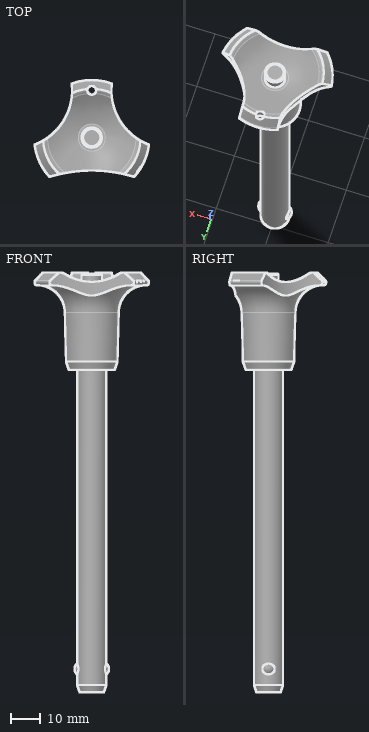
import cadquery as cq
import math


shank_radius = 5.0
shank_length = 109.65
tip_radius = 4.15
tip_taper_length = 2.5

ball_radius = 2.3
ball_reach = 5.9
ball_height_above_tip = 8.0

handle_height = 33.25
barrel_foot_radius = 8.8
barrel_top_radius = 9.22
barrel_top_z = 19.6
foot_taper_radius = 7.8
foot_taper_height = 2.9
foot_round = 0.5
flare_radius = 9.2
lip_outer_radius = 19.64
lip_round = 1.0
rim_bevel_angle = 45.0
bowl_rim_radius = 15.05
bowl_rim_drop = 0.6
bowl_depth = 5.55

side_notch_radius = 19.8
side_notch_centre = (26.52, 16.1)
front_notch_radius = 50.0
front_notch_depth_y = 11.24
front_notch_centre = (0, -front_notch_depth_y - front_notch_radius)

lanyard_hole_radius = 1.45
lanyard_hole_centre = (0, 16.1)

button_radius = 3.45
button_top_z = 32.9
button_chamfer = 0.5
seat_radius = 4.6


def build_shank():
    """Plain pin with a conical lead-in at the lower end."""
    return (
        cq.Workplane("XZ")
        .moveTo(0, 0)
        .lineTo(shank_radius, 0)
        .lineTo(shank_radius, tip_taper_length - shank_length)
        .lineTo(tip_radius, -shank_length)
        .lineTo(0, -shank_length)
        .close()
        .revolve(360, (0, 0, 0), (0, 1, 0))
    )


def build_ball(side):
    """Locking ball standing out of the shank on the given side of X."""
    centre_x = side * (ball_reach - ball_radius)
    centre_z = ball_height_above_tip - shank_length
    return cq.Workplane("XY").sphere(ball_radius).translate((centre_x, 0, centre_z))


def arc_rise(distance, chord_width, chord_rise):
    """Rise, at a distance from its level end, of an arc that ends at the given width and rise."""
    radius = (chord_width**2 + chord_rise**2) / (2 * chord_rise)
    return radius - math.sqrt(radius**2 - distance**2)


def bowl_height_at(radius):
    """Z of the bowl surface at a radius from the axis."""
    bottom_z = handle_height - bowl_rim_drop - bowl_depth
    return bottom_z + arc_rise(radius, bowl_rim_radius, bowl_depth)


def build_handle_blank():
    """Full round handle before the notches are cut."""
    bevel = math.radians(rim_bevel_angle)
    flare_mid_angle = math.radians(45)

    flare_centre_r = barrel_top_radius + flare_radius
    flare_top_z = barrel_top_z + flare_radius
    flare_mid = (
        flare_centre_r - flare_radius * math.cos(flare_mid_angle),
        barrel_top_z + flare_radius * math.sin(flare_mid_angle),
    )

    lip_centre_r = lip_outer_radius - lip_round
    lip_centre_z = flare_top_z + lip_round
    lip_top_r = lip_centre_r + lip_round * math.sin(bevel)
    lip_top_z = lip_centre_z + lip_round * math.cos(bevel)
    crest_outer_radius = lip_top_r - (handle_height - lip_top_z) / math.tan(bevel)

    crest_width = crest_outer_radius - bowl_rim_radius
    crest_mid_width = crest_width / 2
    crest_mid = (
        crest_outer_radius - crest_mid_width,
        handle_height - arc_rise(crest_mid_width, crest_width, bowl_rim_drop),
    )
    bowl_rim_z = handle_height - bowl_rim_drop
    bowl_mid_r = bowl_rim_radius / 2
    bowl_mid = (bowl_mid_r, bowl_height_at(bowl_mid_r))

    blank = (
        cq.Workplane("XZ")
        .moveTo(0, 0)
        .lineTo(foot_taper_radius, 0)
        .lineTo(barrel_foot_radius, foot_taper_height)
        .lineTo(barrel_top_radius, barrel_top_z)
        .threePointArc(flare_mid, (flare_centre_r, flare_top_z))
        .lineTo(lip_centre_r, flare_top_z)
        .threePointArc((lip_outer_radius, lip_centre_z), (lip_top_r, lip_top_z))
        .lineTo(crest_outer_radius, handle_height)
        .threePointArc(crest_mid, (bowl_rim_radius, bowl_rim_z))
        .threePointArc(bowl_mid, (0, bowl_height_at(0)))
        .close()
        .revolve(360, (0, 0, 0), (0, 1, 0))
    )
    return blank.faces("<Z").edges().fillet(foot_round)


def build_upright_cylinder(centre, radius, height):
    """Vertical cylinder standing on the shoulder plane."""
    return cq.Workplane("XY").center(*centre).circle(radius).extrude(height)


def build_handle():
    """Handle with three cylindrical notches between its lobes and the lanyard hole."""
    side_notch = build_upright_cylinder(side_notch_centre, side_notch_radius, handle_height)
    front_notch = build_upright_cylinder(front_notch_centre, front_notch_radius, handle_height)
    lanyard_hole = build_upright_cylinder(lanyard_hole_centre, lanyard_hole_radius, handle_height)
    return (
        build_handle_blank()
        .cut(side_notch)
        .cut(side_notch.mirror("YZ"))
        .cut(front_notch)
        .cut(lanyard_hole)
    )


def build_button():
    """Chamfered release button on its flat seat, ending just below the crest of the lobes."""
    button = build_upright_cylinder((0, 0), button_radius, button_top_z)
    seat = build_upright_cylinder((0, 0), seat_radius, bowl_height_at(seat_radius))
    return button.faces(">Z").chamfer(button_chamfer).union(seat)


result = build_handle().union(build_button()).union(build_shank())
for side in (-1, 1):
    result = result.union(build_ball(side))